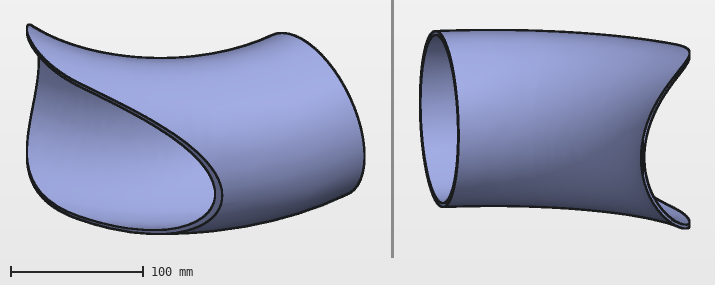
import cadquery as cq
import math

outer_reach = 247.5
pipe_diameter = 133.0
wall = 3.0
bend_angle = 90.0

horn_radius = 90.5
blend_x = 108.2

pipe_radius = pipe_diameter / 2
bore_radius = pipe_radius - wall
bend_radius = outer_reach - pipe_radius
clearance = pipe_diameter


def bent_rod(radius):
    """Round rod swept about the Z axis from +X to -Y."""
    section = cq.Workplane("XZ").center(bend_radius, 0).circle(radius)
    return section.revolve(bend_angle, (-bend_radius, 0, 0), (-bend_radius, -1, 0))


def saddle_y(x):
    """Saddle edge in the bend plane: equal pipes, tangent to each other, meet on a parabola."""
    return x**2 / (4 * bend_radius) - bend_radius


def saddle_slope(x):
    """Slope dy/dx of the saddle parabola."""
    return x / (2 * bend_radius)


def end_cutter():
    """Everything beyond the cut end: the horn arc, then the saddle parabola, straight along Z."""
    blend_y = saddle_y(blend_x)
    blend_tilt = math.atan(saddle_slope(blend_x))
    arc_center_x = blend_x - horn_radius * math.sin(blend_tilt)
    arc_center_y = blend_y + horn_radius * math.cos(blend_tilt)
    arc_start_y = arc_center_y - math.sqrt(horn_radius**2 - arc_center_x**2)
    arc_bottom = (arc_center_x, arc_center_y - horn_radius)

    saddle_end_x = outer_reach
    control_x = (blend_x + saddle_end_x) / 2
    control_y = blend_y + saddle_slope(blend_x) * (control_x - blend_x)
    saddle_curve = [
        (blend_x, blend_y),
        (control_x, control_y),
        (saddle_end_x, saddle_y(saddle_end_x)),
    ]

    far_y = -bend_radius - clearance
    return (
        cq.Workplane("XY", origin=(0, 0, -pipe_diameter))
        .moveTo(0, arc_start_y)
        .threePointArc(arc_bottom, (blend_x, blend_y))
        .bezier(saddle_curve)
        .lineTo(saddle_end_x, far_y)
        .lineTo(-clearance, far_y)
        .lineTo(-clearance, arc_start_y)
        .close()
        .extrude(2 * pipe_diameter)
    )


elbow = bent_rod(pipe_radius).cut(bent_rod(bore_radius))
result = elbow.cut(end_cutter())